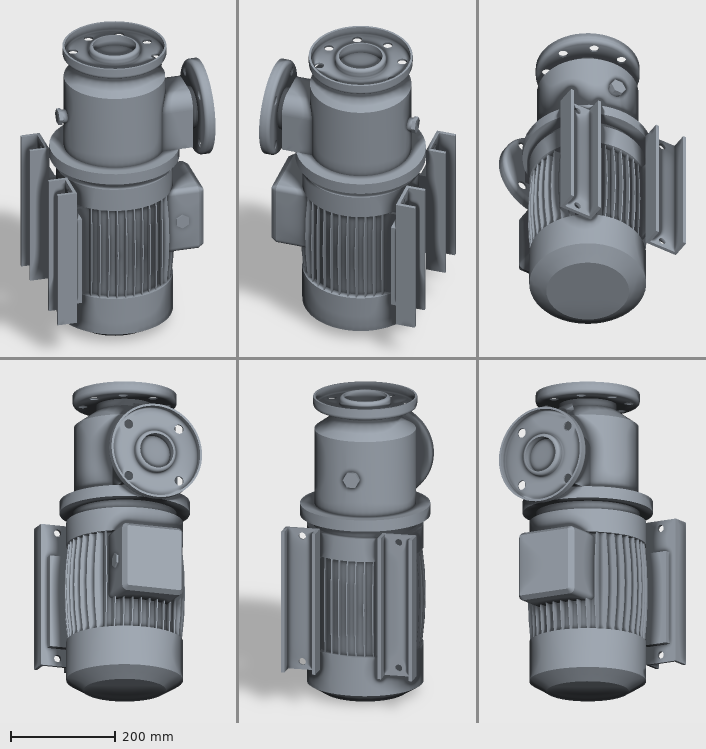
import cadquery as cq
import math

fan_cone_top = 20.0
fin_bottom = 97.0
fin_top = 287.5
motor_shoulder = 333.5
adapter_bottom = 351.5
adapter_top = 374.0
casing_shoulder = 522.5
suction_neck_base = 552.5
overall_height = 587.0

motor_radius = 112.0
fan_end_radius = 79.0
spigot_radius = 100.0
adapter_radius = 125.0
core_radius = 98.5

fin_thickness = 2.05
fins_per_half = 5
fin_angle_pitch = 8.4
fin_spacing_radius = 114.5
fin_end_radius = 109.0
fin_bulge = 7.0

box_width = 124.0
box_bottom = 154.5
box_top = fin_top
box_face_y = 162.0
box_corner_radius = 10.0
box_chamfer_depth = 11.0
box_chamfer_inset = 7.0
gland_across_flats = 24.5
gland_height = 3.5
gland_y = 117.5

foot_inner_x = 66.0
foot_outer_x = 116.0
foot_leg_thickness = 6.5
foot_plate_thickness = 14.0
foot_bottom = 103.0
foot_top = 283.5
rail_inner_x = 61.5
rail_outer_x = 129.0
rail_depth = 38.0
rail_wall = 6.5
rail_bottom = 68.0
rail_top = 348.5
rail_hole_diameter = 14.0
rail_hole_x = 95.0
rail_hole_end_gap = 15.0

casing_radius = 97.5
suction_neck_radius = 55.0
suction_flange_radius = 100.0
suction_flange_depth = 22.0
suction_bore_radius = 41.5
suction_bolt_circle_radius = 80.0
suction_bolt_count = 8

discharge_height = 431.5
discharge_face_y = 175.0
discharge_flange_radius = 93.0
discharge_flange_depth = 20.0
discharge_bore_radius = 34.0
discharge_bolt_circle_radius = 73.0
discharge_bolt_count = 4
discharge_neck_radius = 40.5
discharge_collar_radius = 41.5
discharge_collar_end_y = 151.0
branch_width = 110.5
branch_top = 485.0
branch_face_y = 141.0
branch_corner_radius = 30.0

bolt_hole_diameter = 18.0
flange_edge_radius = 7.0
flange_web_thickness = 4.0
flange_rim_wall = 4.0
hub_wall = 7.0
hub_edge_radius = 6.5
dish_corner_radius = 3.0

plug_across_flats = 28.0
plug_head_height = 7.5
plug_stem_radius = 13.0
drain_stem_height = 9.0
drain_height = 449.0
vent_stem_height = 1.0
stem_embedding = 6.0


def cylinder(radius, bottom, top):
    return cq.Workplane("XY", origin=(0, 0, bottom)).circle(radius).extrude(top - bottom)


def block(x_range, y_range, z_range):
    """Axis-aligned box given by the two ends along each axis."""
    size = [end - start for start, end in (x_range, y_range, z_range)]
    corner = (x_range[0], y_range[0], z_range[0])
    return cq.Workplane("XY").box(*size, centered=False).translate(corner)


def hexagon_prism(plane, across_flats, height):
    across_corners = across_flats / math.cos(math.pi / 6)
    return cq.Workplane(plane).polygon(6, across_corners).extrude(height)


def screw_plug(seat, normal, stem_height):
    """Round stem with a hexagonal head, standing on a seat point along a normal."""
    x_direction = (1, 0, 0)
    seat_plane = cq.Plane(origin=seat, xDir=x_direction, normal=normal)
    root_plane = cq.Plane(seat_plane.toWorldCoords((0, 0, -stem_embedding)), x_direction, normal)
    head_plane = cq.Plane(seat_plane.toWorldCoords((0, 0, stem_height)), x_direction, normal)
    stem = cq.Workplane(root_plane).circle(plug_stem_radius).extrude(stem_embedding + stem_height)
    return stem.union(hexagon_prism(head_plane, plug_across_flats, plug_head_height))


def dished_flange(radius, depth, bore_radius, bolt_circle_radius, bolt_count):
    """Thin flange with a raised rim and hub; its face lies on z = 0 and it extends to -depth."""
    rim_inner_radius = radius - flange_rim_wall
    hub_radius = bore_radius + hub_wall
    web_top = flange_web_thickness - depth
    flange = cylinder(radius, -depth, 0).faces("<Z").edges().fillet(flange_edge_radius)
    dish = cylinder(rim_inner_radius, web_top, 0).cut(cylinder(hub_radius, web_top, 0))
    dish = dish.faces("<Z").edges().fillet(dish_corner_radius)
    flange = flange.cut(dish).cut(cylinder(bore_radius, -depth, 0))
    hub_rim = cq.selectors.RadiusNthSelector(1)
    flange = flange.faces(">Z").edges(hub_rim).fillet(hub_edge_radius)
    bolt_holes = (
        cq.Workplane("XY", origin=(0, 0, -depth))
        .polarArray(bolt_circle_radius, 180 / bolt_count, 360, bolt_count)
        .circle(bolt_hole_diameter / 2)
        .extrude(depth)
    )
    return flange.cut(bolt_holes)


def pump_casing():
    neck_top = overall_height - suction_flange_depth
    return (
        cq.Workplane("XZ")
        .moveTo(0, adapter_top)
        .lineTo(casing_radius, adapter_top)
        .lineTo(casing_radius, casing_shoulder)
        .lineTo(suction_neck_radius, suction_neck_base)
        .lineTo(suction_neck_radius, neck_top)
        .lineTo(0, neck_top)
        .close()
        .revolve(360, (0, 0, 0), (0, 1, 0))
    )


def suction_flange():
    flange = dished_flange(
        suction_flange_radius,
        suction_flange_depth,
        suction_bore_radius,
        suction_bolt_circle_radius,
        suction_bolt_count,
    )
    return flange.translate((0, 0, overall_height))


def discharge_branch():
    """Round-shouldered block with a stepped neck behind the side flange."""
    half_width = branch_width / 2
    branch = block((-half_width, half_width), (0, branch_face_y), (adapter_top, branch_top))
    branch = branch.edges("|Y and >Z").fillet(branch_corner_radius)
    neck_end_y = discharge_face_y - discharge_flange_depth
    axis_plane = cq.Workplane("XZ", origin=(0, 0, discharge_height))
    neck = axis_plane.circle(discharge_neck_radius).extrude(-neck_end_y)
    collar = axis_plane.circle(discharge_collar_radius).extrude(-discharge_collar_end_y)
    return branch.union(collar).union(neck)


def discharge_flange():
    flange = dished_flange(
        discharge_flange_radius,
        discharge_flange_depth,
        discharge_bore_radius,
        discharge_bolt_circle_radius,
        discharge_bolt_count,
    )
    flange = flange.rotate((0, 0, 0), (1, 0, 0), -90)
    return flange.translate((0, discharge_face_y, discharge_height))


def drain_plug():
    return screw_plug((0, -casing_radius, drain_height), (0, -1, 0), drain_stem_height)


def vent_plug():
    """Plug standing square on the middle of the casing's sloping shoulder."""
    seat = (
        0,
        (casing_radius + suction_neck_radius) / 2,
        (casing_shoulder + suction_neck_base) / 2,
    )
    normal = (0, suction_neck_base - casing_shoulder, casing_radius - suction_neck_radius)
    return screw_plug(seat, normal, vent_stem_height)


def build_pump():
    pump = pump_casing().union(suction_flange())
    pump = pump.union(discharge_branch()).union(discharge_flange())
    return pump.union(drain_plug()).union(vent_plug())


def motor_shell():
    """Fan cover, finned core, drive end and adapter disc in one turned profile."""
    return (
        cq.Workplane("XZ")
        .lineTo(fan_end_radius, 0)
        .lineTo(motor_radius, fan_cone_top)
        .lineTo(motor_radius, fin_bottom)
        .lineTo(core_radius, fin_bottom)
        .lineTo(core_radius, fin_top)
        .lineTo(motor_radius, fin_top)
        .lineTo(motor_radius, motor_shoulder)
        .lineTo(spigot_radius, motor_shoulder)
        .lineTo(spigot_radius, adapter_bottom)
        .lineTo(adapter_radius, adapter_bottom)
        .lineTo(adapter_radius, adapter_top)
        .lineTo(0, adapter_top)
        .close()
        .revolve(360, (0, 0, 0), (0, 1, 0))
    )


def cooling_fin(offset):
    """Plate parallel to the XZ plane on the +X side, its outer edge bowed between its ends."""
    root = core_radius / 2
    end_reach = math.sqrt(fin_end_radius**2 - offset**2)
    bulge = fin_bulge * end_reach / fin_end_radius
    fin = (
        cq.Workplane("XZ")
        .moveTo(root, fin_bottom)
        .lineTo(end_reach, fin_bottom)
        .threePointArc((end_reach + bulge, (fin_bottom + fin_top) / 2), (end_reach, fin_top))
        .lineTo(root, fin_top)
        .close()
        .extrude(fin_thickness / 2, both=True)
    )
    return fin.translate((0, offset, 0))


def cooling_fins():
    """Four like groups of parallel fins, one on each side of the core."""
    fins = cq.Workplane("XY")
    for index in range(fins_per_half):
        angle = math.radians((index + 0.5) * fin_angle_pitch)
        offset = fin_spacing_radius * math.sin(angle)
        for signed_offset in (-offset, offset):
            fin = cooling_fin(signed_offset)
            for turn in (0, 90, 180, 270):
                fins = fins.add(fin.rotate((0, 0, 0), (0, 0, 1), turn))
    return fins.combine()


def terminal_box():
    half_width = box_width / 2
    box = block((-half_width, half_width), (0, box_face_y), (box_bottom, box_top))
    box = box.edges("|Y").fillet(box_corner_radius)
    return box.faces(">Y").chamfer(box_chamfer_inset, box_chamfer_depth)


def cable_gland():
    gland_plane = cq.Plane(
        origin=(box_width / 2, gland_y, (box_bottom + box_top) / 2),
        xDir=(0, 0, 1),
        normal=(1, 0, 0),
    )
    return hexagon_prism(gland_plane, gland_across_flats, gland_height)


def mounting_foot():
    """L-section foot on the +X side: a leg from the motor core and a plate for the rail."""
    z_range = (foot_bottom, foot_top)
    leg_outer_x = foot_inner_x + foot_leg_thickness
    leg = block((foot_inner_x, leg_outer_x), (-motor_radius, -foot_inner_x), z_range)
    plate_top_y = foot_plate_thickness - motor_radius
    plate = block((foot_inner_x, foot_outer_x), (-motor_radius, plate_top_y), z_range)
    return leg.union(plate)


def channel_rail():
    """U-channel on the +X side, open toward -Y, with a bolt hole near each end."""
    back_y = -motor_radius
    front_y = back_y - rail_depth
    z_range = (rail_bottom, rail_top)
    rail = block((rail_inner_x, rail_outer_x), (front_y, back_y), z_range)
    cavity_x_range = (rail_inner_x + rail_wall, rail_outer_x - rail_wall)
    rail = rail.cut(block(cavity_x_range, (front_y, back_y - rail_wall), z_range))
    for height in (rail_bottom + rail_hole_end_gap, rail_top - rail_hole_end_gap):
        hole = (
            cq.Workplane("XZ", origin=(rail_hole_x, back_y, height))
            .circle(rail_hole_diameter / 2)
            .extrude(rail_wall)
        )
        rail = rail.cut(hole)
    return rail


def build_motor():
    motor = motor_shell().union(cooling_fins())
    motor = motor.union(terminal_box()).union(cable_gland())
    support = mounting_foot().union(channel_rail())
    return motor.union(support).union(support.mirror("YZ"))


pump = build_pump()
motor = build_motor()

result = cq.Compound.makeCompound([pump.val(), motor.val()])